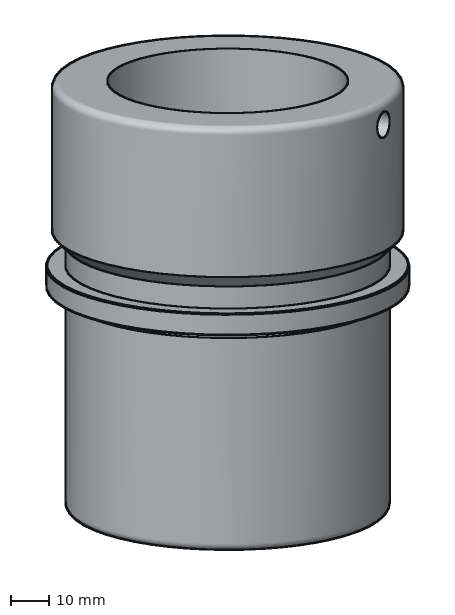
import cadquery as cq

total_height = 116.0
bore_diameter = 63.0
body_diameter = 85.0
head_diameter = 92.0
flange_diameter = 95.0

flange_bottom = 60.0
flange_thickness = 6.0
neck_height = 6.0

head_fillet = 2.0
body_fillet = 2.0
flange_chamfer = 0.3

groove_width = 2.0
groove_depth = 1.0
groove_chamfer = 0.5

hole_diameter = 7.0
hole_below_top = 6.0

bore_radius = bore_diameter / 2
body_radius = body_diameter / 2
head_radius = head_diameter / 2
flange_top = flange_bottom + flange_thickness
neck_top = flange_top + neck_height
head_taper = head_radius - body_radius


def ring(diameter, bottom, top):
    """Solid disc on the Z axis between two levels."""
    return cq.Workplane("XY").workplane(offset=bottom).circle(diameter / 2).extrude(top - bottom)


def make_body():
    """Lower spigot with a rounded bottom edge, running up to the flange."""
    return ring(body_diameter, 0, flange_bottom).faces("<Z").edges().fillet(body_fillet)


def make_flange():
    """Locating flange with lightly broken edges."""
    return ring(flange_diameter, flange_bottom, flange_top).edges().chamfer(flange_chamfer)


def make_head():
    """Neck and head with a conical underside and a rounded top edge."""
    neck = ring(body_diameter, flange_top, neck_top)
    head = ring(head_diameter, neck_top, total_height)
    head = head.faces("<Z").edges().chamfer(head_taper)
    head = head.faces(">Z").edges().fillet(head_fillet)
    return neck.union(head)


def make_groove():
    """Cutter for the relief groove, with a chamfer on its lower lip."""
    groove_bottom = flange_bottom - groove_width
    floor_radius = body_radius - groove_depth
    return (
        cq.Workplane("XZ")
        .moveTo(floor_radius, flange_bottom)
        .lineTo(floor_radius, groove_bottom + groove_chamfer)
        .lineTo(body_radius, groove_bottom)
        .lineTo(flange_diameter / 2, groove_bottom)
        .lineTo(flange_diameter / 2, flange_bottom)
        .close()
        .revolve(360, (0, 0, 0), (0, 1, 0))
    )


def make_radial_hole():
    """Cutter from the axis out through the +X wall."""
    return (
        cq.Workplane("YZ")
        .center(0, total_height - hole_below_top)
        .circle(hole_diameter / 2)
        .extrude(flange_diameter / 2)
    )


result = make_body().cut(make_groove()).union(make_flange()).union(make_head())
result = result.cut(ring(bore_diameter, 0, total_height)).cut(make_radial_hole())